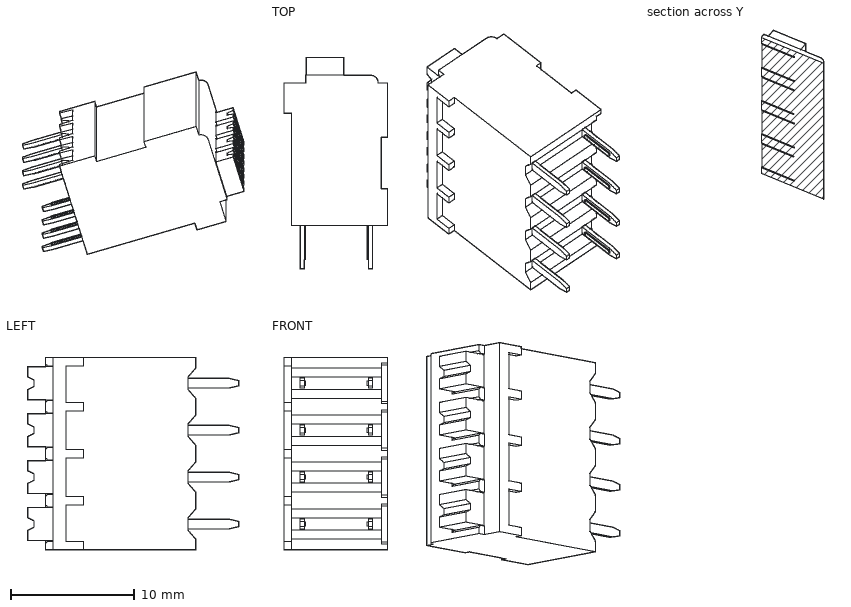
import cadquery as cq


pole_count = 4
pole_pitch = 3.8
pole_levels = [(i - (pole_count - 1) / 2) * pole_pitch for i in range(pole_count)]
boundary_levels = [(i - pole_count / 2) * pole_pitch for i in range(1, pole_count)]

total_width = 8.4
height = 15.62
depth = 11.6
rail_thickness = 0.6

rail_front = 10.53
finger_front = 9.1
finger_height = 0.69

channel_depth = 0.5
channel_front = 3.0
channel_back = 7.17

pocket_height = 3.28
pocket_floor_height = 2.93
pocket_depth = 1.13

groove_opening = 2.45
groove_floor = 1.0
groove_depth = 0.63

plate_left = 1.75
plate_right = 7.65
plate_back = 12.21
plate_radius = plate_back - depth
window_height = 2.8
window_flare = 0.19

button_left = 1.8
button_width = 3.05
button_height = 2.7
button_back = 13.65
button_right = button_left + button_width
notch_opening = 1.03
notch_floor = 0.51
notch_depth = 0.51

pin_thickness = 0.35
pin_height = 0.8
pin_tip_height = 0.43
pin_tip = -3.5
pin_taper_start = -2.7
left_pin_x = 1.32
right_pin_x = 6.85
ridge_height = 0.35
ridge_rise = 0.1
ridge_front = -2.75
ridge_back = 0.24


def block(x, y, z):
    """Box spanning the given (low, high) range on each axis."""
    return cq.Workplane("XY").box(x[1] - x[0], y[1] - y[0], z[1] - z[0], centered=False).translate(
        (x[0], y[0], z[0])
    )


def centred(level, size):
    """Range of the given size centred on a level."""
    return (level - size / 2, level + size / 2)


def side_profile(points, x, level):
    """Extrude a closed (Y, Z) outline, drawn about a pole level, over an X range."""
    outline = cq.Workplane("YZ").polyline(points).close()
    return outline.extrude(x[1] - x[0]).translate((x[0], 0, level))


def housing():
    body = block((rail_thickness, total_width), (0, depth), centred(0, height))
    channel = block(
        (total_width - channel_depth, total_width), (channel_front, channel_back), centred(0, height)
    )
    plate = (
        cq.Workplane("XY", origin=(0, 0, -height / 2))
        .moveTo(plate_left, depth)
        .lineTo(plate_left, plate_back)
        .lineTo(plate_right - plate_radius, plate_back)
        .radiusArc((plate_right, depth), plate_radius)
        .close()
        .extrude(height)
    )
    return body.cut(channel).union(plate)


def side_rail():
    rail = block((0, rail_thickness), (rail_front, depth), centred(0, height))
    end_level = (height - finger_height) / 2
    for level in [-end_level, *boundary_levels, end_level]:
        finger = block((0, rail_thickness), (finger_front, rail_front), centred(level, finger_height))
        rail = rail.union(finger)
    return rail


def groove(level):
    points = [
        (0, -groove_opening / 2),
        (groove_depth, -groove_floor / 2),
        (groove_depth, groove_floor / 2),
        (0, groove_opening / 2),
    ]
    return side_profile(points, (rail_thickness, total_width), level)


def latch_pocket(level):
    points = [
        (0, -pocket_height / 2),
        (pocket_depth, -pocket_floor_height / 2),
        (pocket_depth, pocket_floor_height / 2),
        (0, pocket_height / 2),
    ]
    return side_profile(points, (total_width - channel_depth, total_width), level)


def plate_window(level):
    half = window_height / 2
    points = [
        (depth, -half),
        (plate_back - window_flare, -half),
        (plate_back, -half - window_flare),
        (plate_back, half + window_flare),
        (plate_back - window_flare, half),
        (depth, half),
    ]
    return side_profile(points, (plate_left, button_right), level)


def button(level):
    half = button_height / 2
    points = [
        (depth, -half),
        (button_back, -half),
        (button_back, -notch_opening / 2),
        (button_back - notch_depth, -notch_floor / 2),
        (button_back - notch_depth, notch_floor / 2),
        (button_back, notch_opening / 2),
        (button_back, half),
        (depth, half),
    ]
    return side_profile(points, (button_left, button_right), level)


def pin(x_start, ridge_side, level):
    """Tapered pin with a round-ended ridge on its +X (1) or -X (-1) face."""
    points = [
        (groove_depth, -pin_height / 2),
        (pin_taper_start, -pin_height / 2),
        (pin_tip, -pin_tip_height / 2),
        (pin_tip, pin_tip_height / 2),
        (pin_taper_start, pin_height / 2),
        (groove_depth, pin_height / 2),
    ]
    blade = side_profile(points, (x_start, x_start + pin_thickness), level)
    face_x = x_start + pin_thickness if ridge_side > 0 else x_start
    ridge = (
        cq.Workplane("YZ", origin=(face_x, (ridge_front + ridge_back) / 2, level))
        .slot2D(ridge_back - ridge_front, ridge_height)
        .extrude(ridge_side * ridge_rise)
    )
    return blade.union(ridge)


result = housing().union(side_rail())
for pole_level in pole_levels:
    result = result.cut(groove(pole_level))
    result = result.cut(latch_pocket(pole_level))
    result = result.cut(plate_window(pole_level))
    result = result.union(button(pole_level))
    result = result.union(pin(left_pin_x, 1, pole_level))
    result = result.union(pin(right_pin_x, -1, pole_level))